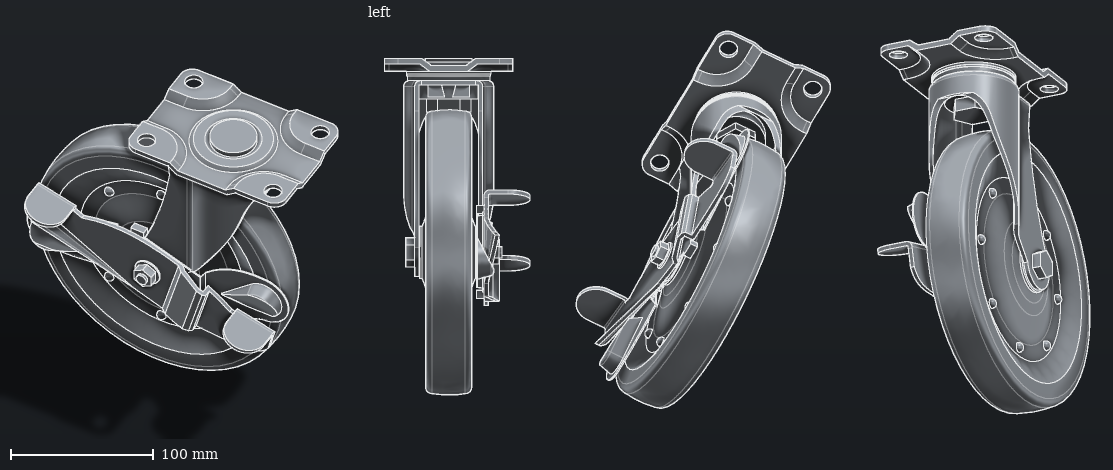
import cadquery as cq
import math


WHEEL_RADIUS = 100.0
SHOULDER_RADIUS = 99.0
TYRE_HALF_WIDTH = 16.0
TREAD_HALF_WIDTH = 11.5
SIDE_FACE_OUTER = 93.5
SIDE_FACE_INNER = 82.5
WEB_OUTER = 65.5
WEB_INNER = 54.0
WEB_HALF_WIDTH = 8.3
HUB_CONE_RADIUS = 34.0
HUB_CONE_HALF_WIDTH = 14.2
HUB_NECK_RADIUS = 25.2
HUB_RADIUS = 18.5
HUB_NECK_HALF_WIDTH = 18.6
HUB_HALF_WIDTH = 20.3
RIVET_COUNT = 8
RIVET_CIRCLE = 59.5
RIVET_RADIUS = 3.5

SWIVEL_X = 53.0
TOP_Z = 135.9
FORK_TOP = 120.3

PLATE_LENGTH = 125.2
PLATE_WIDTH = 90.0
PLATE_CORNER = 9.5
PLATE_THICKNESS = 4.0
PAD_RISE = 5.0
PAD_START_X = 19.0
PAD_START_Y = 12.0
PAD_ROUND = 28.3
PAD_SLOPE_RUN = 6.5
BOSS_RADIUS = 31.1
BOSS_SLOPE = 3.0
BOSS_RISE = 2.4
BOLT_HOLE_X = 51.0
BOLT_HOLE_Y = 33.5
BOLT_HOLE_RADIUS = 6.4
PLATE_LOW_TOP = TOP_Z - PAD_RISE
PLATE_BOTTOM = PLATE_LOW_TOP - PLATE_THICKNESS

PIN_RADIUS = 11.8
PIN_HEAD_RADIUS = 16.5
HEAD_RECESS_RADIUS = 20.0
HEAD_RECESS_DEPTH = 1.7
UPPER_RACE_RADIUS = 29.7
MIDDLE_RACE_RADIUS = 29.5
LOWER_RACE_RADIUS = 29.0
RACE_LIP_Z = 125.0
RACE_SPLIT_Z = 123.5
CUP_RADIUS = 20.5
CUP_BOTTOM = 107.3
PIN_NUT_RADIUS = 15.5
PIN_NUT_BOTTOM = 98.4
LUG_INNER_Y = 5.0
LUG_INNER_FOOT_Y = 2.8
LUG_OUTER_Y = 14.6
LUG_BOTTOM = 109.0
LUG_REACH = 23.5

SHEET = 3.0
ARM_OUTER_Y = 23.8
ARM_INNER_Y = ARM_OUTER_Y - SHEET
SHELL_RADIUS = 31.5
ARM_END_RADIUS = 17.0
FORK_EDGE_ROUND = 4.0
SHELL_BLEND = 9.5
LIP_LENGTH = 2.5
LIP_HALF_WIDTH = 18.9
FORK_FRONT_X = 12.7

AXLE_RADIUS = 4.0
AXLE_HEAD_RADIUS = 10.4
AXLE_HEAD_HEIGHT = 6.4
AXLE_FLANGE_RADIUS = 10.0
AXLE_FLANGE_HEIGHT = 1.2
AXLE_NUT_RADIUS = 8.0
AXLE_NUT_HEIGHT = 6.4
AXLE_END_Y = -37.5

BASE_SHEET = 1.0
BASE_Y = -ARM_OUTER_Y
WING_Y = -19.3
JOG_START = 27.1
JOG_RUN = 2.0
RIGHT_JOG_START = 40.0
LEFT_LOBE = (-82.5, -4.2)
LEFT_LOBE_RADIUS = 19.0
RIGHT_LOBE = (89.0, 9.2)
RIGHT_LOBE_RADIUS = 19.8
CAM_RADIUS = 14.9
CAM_HEIGHT = 12.3
CAM_ROUND = 2.8
CAM_DRAFT = 15
LEFT_CAM_SLOPE = (11.8, -11.8)
RIGHT_CAM_SLOPE = (-6.0, 22.5)
LEFT_CAM_TIP = (-47.2, -6.0)
RIGHT_CAM_TIP = (54.2, -1.2)
HOOK_WIDTH = 10.4
HOOK_HEIGHT = 6.0
HOOK_OVERLAP = 1.2
UPPER_HOOK = (-15.5, 27.1)
LOWER_HOOK = (21.2, -32.3)

PEDAL_TILT = 15
PEDAL_BACK_Y = BASE_Y - BASE_SHEET
PEDAL_FRONT_Y = PEDAL_BACK_Y - SHEET
HUMP_Y = -35.5
HUMP_STEP_Y = -31.0
TREAD_TIP_Y = -57.0
TREAD_WIDTH = 31.0
BEND_INNER_RADIUS = 1.2
BEND_OUTER_RADIUS = BEND_INNER_RADIUS + SHEET
TREAD_ROOT = 5.5
LEFT_TREAD = (-88.5, 43.9)
RIGHT_TREAD = (71.5, -2.1)
FLARE_TIP = (-11.5, PEDAL_FRONT_Y, -21.7)
FLARE_EDGE = [
    (-90.0, PEDAL_FRONT_Y, 24.0),
    (-90.5, -30.0, 19.3),
    (-90.8, -33.7, 14.2),
    (-89.9, HUMP_Y, 12.3),
]


def prism_along_y(outline, y_back, y_front):
    """Extrude a closed XZ wire builder from y_back towards -Y as far as y_front."""
    return outline(cq.Workplane("XZ", origin=(0, y_back, 0))).close().extrude(y_back - y_front)


def rod_along_y(radius, y_back, y_front):
    return cq.Workplane("XZ", origin=(0, y_back, 0)).circle(radius).extrude(y_back - y_front)


def hexagon_along_y(radius, y_back, y_front):
    """Hexagonal bar on the wheel axis with corners pointing up and down."""
    bar = cq.Workplane("XZ", origin=(0, y_back, 0)).polygon(6, 2 * radius).extrude(y_back - y_front)
    return bar.rotate((0, 0, 0), (0, 1, 0), 90)


def swivel_disc(radius, z_bottom, z_top):
    return cq.Workplane("XY", origin=(SWIVEL_X, 0, z_bottom)).circle(radius).extrude(z_top - z_bottom)


def make_wheel():
    side = [
        (SIDE_FACE_INNER, TYRE_HALF_WIDTH),
        (WEB_OUTER, WEB_HALF_WIDTH),
        (WEB_INNER, WEB_HALF_WIDTH),
        (HUB_CONE_RADIUS, HUB_CONE_HALF_WIDTH),
        (HUB_NECK_RADIUS, TYRE_HALF_WIDTH),
        (HUB_RADIUS, HUB_NECK_HALF_WIDTH),
        (HUB_RADIUS, HUB_HALF_WIDTH),
        (AXLE_RADIUS, HUB_HALF_WIDTH),
    ]
    other_side = [(radius, -y) for radius, y in reversed(side)]
    shoulder_mid_radius = SIDE_FACE_OUTER + 0.75 * (SHOULDER_RADIUS - SIDE_FACE_OUTER)
    shoulder_mid_y = TREAD_HALF_WIDTH + 0.75 * (TYRE_HALF_WIDTH - TREAD_HALF_WIDTH)
    wheel = (
        cq.Workplane("XY")
        .moveTo(SIDE_FACE_OUTER, TYRE_HALF_WIDTH)
        .polyline(side + other_side, includeCurrent=True)
        .lineTo(SIDE_FACE_OUTER, -TYRE_HALF_WIDTH)
        .threePointArc((shoulder_mid_radius, -shoulder_mid_y), (SHOULDER_RADIUS, -TREAD_HALF_WIDTH))
        .threePointArc((WHEEL_RADIUS, 0), (SHOULDER_RADIUS, TREAD_HALF_WIDTH))
        .threePointArc((shoulder_mid_radius, shoulder_mid_y), (SIDE_FACE_OUTER, TYRE_HALF_WIDTH))
        .close()
        .revolve(360, (0, 0, 0), (0, 1, 0))
    )
    for index in range(RIVET_COUNT):
        angle = 2 * math.pi * index / RIVET_COUNT
        for side_y in (-WEB_HALF_WIDTH, WEB_HALF_WIDTH):
            center = (RIVET_CIRCLE * math.cos(angle), side_y, RIVET_CIRCLE * math.sin(angle))
            wheel = wheel.union(cq.Workplane("XY", origin=center).sphere(RIVET_RADIUS))
    return wheel


def corner_pads(z_bottom, inset):
    """Four tapered blocks over the corners of the mounting plate."""
    slope = math.degrees(math.atan2(PAD_SLOPE_RUN, PAD_RISE))
    start_x = PAD_START_X + inset
    start_y = PAD_START_Y + inset
    pads = []
    for side_x in (-1, 1):
        for side_y in (-1, 1):
            center = (SWIVEL_X + side_x * (start_x + PLATE_LENGTH / 2),
                      side_y * (start_y + PLATE_WIDTH / 2), z_bottom)
            pad = (
                cq.Workplane("XY", origin=center)
                .sketch().rect(PLATE_LENGTH, PLATE_WIDTH).vertices().fillet(PAD_ROUND).finalize()
                .extrude(PAD_RISE, taper=slope)
            )
            pads.append(pad)
    return pads


def make_mounting_plate():
    blank = (
        cq.Workplane("XY", origin=(SWIVEL_X, 0, PLATE_BOTTOM))
        .rect(PLATE_LENGTH, PLATE_WIDTH)
        .extrude(TOP_Z - PLATE_BOTTOM)
        .edges("|Z").fillet(PLATE_CORNER)
    )
    plate = (
        cq.Workplane("XY", origin=(SWIVEL_X, 0, PLATE_BOTTOM))
        .rect(PLATE_LENGTH, PLATE_WIDTH).extrude(PLATE_THICKNESS)
    )
    bend_inset = PLATE_THICKNESS * math.tan(math.atan2(PAD_RISE, PAD_SLOPE_RUN) / 2)
    for pad in corner_pads(PLATE_LOW_TOP, 0):
        plate = plate.union(pad)
    for hollow in corner_pads(PLATE_BOTTOM, bend_inset):
        plate = plate.cut(hollow)
    plate = plate.intersect(blank)
    boss = (
        cq.Workplane("XY", origin=(SWIVEL_X, 0, PLATE_LOW_TOP))
        .circle(BOSS_RADIUS).extrude(BOSS_RISE)
        .faces(">Z").chamfer(BOSS_RISE * 0.99, BOSS_SLOPE)
    )
    holes = (
        cq.Workplane("XY", origin=(SWIVEL_X, 0, PLATE_BOTTOM))
        .rect(2 * BOLT_HOLE_X, 2 * BOLT_HOLE_Y, forConstruction=True).vertices()
        .circle(BOLT_HOLE_RADIUS).extrude(TOP_Z - PLATE_BOTTOM)
    )
    recess = (
        swivel_disc(HEAD_RECESS_RADIUS, PLATE_LOW_TOP + BOSS_RISE - HEAD_RECESS_DEPTH, TOP_Z)
        .faces("<Z").chamfer(HEAD_RECESS_DEPTH, HEAD_RECESS_RADIUS - PIN_HEAD_RADIUS)
    )
    return plate.union(boss).cut(recess).cut(holes).cut(swivel_disc(PIN_RADIUS, PLATE_BOTTOM, TOP_Z))


def make_kingpin():
    """Pin with a head on the plate, bearing races under it, and a cup and nut under the fork."""
    recess_bottom = PLATE_LOW_TOP + BOSS_RISE - HEAD_RECESS_DEPTH
    flange_bottom = FORK_TOP - SHEET
    half_profile = [
        (0, TOP_Z),
        (PIN_HEAD_RADIUS, TOP_Z),
        (PIN_HEAD_RADIUS, recess_bottom),
        (PIN_RADIUS, recess_bottom),
        (PIN_RADIUS, PLATE_BOTTOM),
        (UPPER_RACE_RADIUS, PLATE_BOTTOM),
        (UPPER_RACE_RADIUS, RACE_LIP_Z),
        (MIDDLE_RACE_RADIUS, RACE_LIP_Z),
        (MIDDLE_RACE_RADIUS, RACE_SPLIT_Z),
        (LOWER_RACE_RADIUS, RACE_SPLIT_Z),
        (LOWER_RACE_RADIUS, FORK_TOP),
        (PIN_RADIUS, FORK_TOP),
        (PIN_RADIUS, flange_bottom),
        (CUP_RADIUS, flange_bottom),
        (CUP_RADIUS, CUP_BOTTOM),
        (0, CUP_BOTTOM),
    ]
    pin = (
        cq.Workplane("XZ").polyline(half_profile).close()
        .revolve(360, (0, 0, 0), (0, 1, 0)).translate((SWIVEL_X, 0, 0))
    )
    nut = (
        cq.Workplane("XY", origin=(SWIVEL_X, 0, PIN_NUT_BOTTOM))
        .transformed(rotate=(0, 0, 90)).polygon(6, 2 * PIN_NUT_RADIUS)
        .extrude(CUP_BOTTOM - PIN_NUT_BOTTOM)
    )
    lug_outline = [
        (LUG_INNER_Y, flange_bottom),
        (LUG_OUTER_Y, flange_bottom),
        (LUG_OUTER_Y, LUG_BOTTOM),
        (LUG_INNER_FOOT_Y, LUG_BOTTOM),
    ]
    lug = (
        cq.Workplane("YZ", origin=(SWIVEL_X - LUG_REACH, 0, 0))
        .polyline(lug_outline).close().extrude(LUG_REACH)
    )
    return pin.union(nut).union(lug).union(lug.mirror("XZ"))


def fork_plan(radius, half_width, z_top):
    """Solid keyhole in plan: a cylinder on the swivel axis with a straight-sided tongue to -X."""
    depth = z_top + ARM_END_RADIUS
    tongue_length = SWIVEL_X + ARM_END_RADIUS
    tongue = (
        cq.Workplane("XY", origin=(SWIVEL_X - tongue_length / 2, 0, -ARM_END_RADIUS))
        .rect(tongue_length, 2 * half_width).extrude(depth)
    )
    junction_x = SWIVEL_X - math.sqrt(radius**2 - half_width**2)
    junctions = cq.selectors.BoxSelector(
        (junction_x - 2.4, -radius, -ARM_END_RADIUS - 2.4), (junction_x + 2.4, radius, z_top + 2.4)
    )
    keyhole = tongue.union(swivel_disc(radius, -ARM_END_RADIUS, z_top))
    return keyhole.edges("|Z").edges(junctions).fillet(SHELL_BLEND)


def fork_side_outline(plane):
    return (
        plane.moveTo(FORK_FRONT_X, FORK_TOP)
        .lineTo(15.0, 99)
        .spline([(10.1, 72.6), (-4.7, 27.4), (-16.5, 3.5)], includeCurrent=True)
        .threePointArc((0, -ARM_END_RADIUS), (16.5, -3.5))
        .lineTo(36.8, 17.2)
        .spline([(52.5, 41.5), (70.3, 75.7), (78.3, 98.0), (81.5, 102.8)], includeCurrent=True)
        .lineTo(SWIVEL_X + SHELL_RADIUS, 102.8)
        .lineTo(SWIVEL_X + SHELL_RADIUS, FORK_TOP)
    )


def make_fork():
    outer = fork_plan(SHELL_RADIUS, ARM_OUTER_Y, FORK_TOP).faces(">Z").edges().fillet(FORK_EDGE_ROUND)
    inner = fork_plan(SHELL_RADIUS - SHEET, ARM_INNER_Y, FORK_TOP - SHEET)
    fork = outer.cut(inner)
    fork = fork.intersect(prism_along_y(fork_side_outline, SHELL_RADIUS, -SHELL_RADIUS))
    lip = cq.Workplane("XY").box(2 * LIP_LENGTH, 2 * LIP_HALF_WIDTH, SHEET)
    fork = fork.union(lip.translate((FORK_FRONT_X, 0, FORK_TOP - SHEET / 2)))
    fork = fork.cut(swivel_disc(PIN_RADIUS, FORK_TOP - SHEET, FORK_TOP))
    return fork.cut(rod_along_y(AXLE_RADIUS, SHELL_RADIUS, -SHELL_RADIUS))


def make_axle():
    nut_back = PEDAL_FRONT_Y - AXLE_FLANGE_HEIGHT
    axle = rod_along_y(AXLE_RADIUS, ARM_OUTER_Y, AXLE_END_Y)
    head = hexagon_along_y(AXLE_HEAD_RADIUS, ARM_OUTER_Y + AXLE_HEAD_HEIGHT, ARM_OUTER_Y)
    flange = rod_along_y(AXLE_FLANGE_RADIUS, PEDAL_FRONT_Y, nut_back)
    nut = hexagon_along_y(AXLE_NUT_RADIUS, nut_back, nut_back - AXLE_NUT_HEIGHT)
    return axle.union(head).union(flange).union(nut)


def base_outline(plane):
    left_x, left_z = LEFT_LOBE
    right_x, right_z = RIGHT_LOBE
    upper_root = UPPER_HOOK[1] + HOOK_OVERLAP
    lower_root = LOWER_HOOK[1] + HOOK_HEIGHT - HOOK_OVERLAP
    return (
        plane.moveTo(left_x, left_z - LEFT_LOBE_RADIUS)
        .spline([(-59.0, -22.6), (-28.3, -17.0)], includeCurrent=True)
        .lineTo(LOWER_HOOK[0], lower_root)
        .lineTo(LOWER_HOOK[0] + HOOK_WIDTH, lower_root)
        .lineTo(right_x, right_z - RIGHT_LOBE_RADIUS)
        .threePointArc((right_x + RIGHT_LOBE_RADIUS, right_z), (right_x, right_z + RIGHT_LOBE_RADIUS))
        .spline([(61.3, 25.2), (40.5, 11.3)], includeCurrent=True)
        .lineTo(UPPER_HOOK[0] + HOOK_WIDTH, upper_root)
        .lineTo(UPPER_HOOK[0], upper_root)
        .lineTo(left_x, left_z + LEFT_LOBE_RADIUS)
        .threePointArc((left_x - LEFT_LOBE_RADIUS, left_z), (left_x, left_z - LEFT_LOBE_RADIUS))
    )


def jogged_sheet():
    """Sheet that lies outside the fork arm near the axle and steps inward at both ends."""
    reach = 141.5
    back = [
        (-reach, WING_Y),
        (-JOG_START - JOG_RUN, WING_Y),
        (-JOG_START, BASE_Y),
        (RIGHT_JOG_START, BASE_Y),
        (RIGHT_JOG_START + JOG_RUN, WING_Y),
        (reach, WING_Y),
    ]
    front = [(x, y - BASE_SHEET) for x, y in reversed(back)]
    return cq.Workplane("XY").polyline(back + front).close().extrude(reach, both=True)


def cam_boss(center, tip, low_z, high_z):
    """Pear-shaped boss with a face that slopes from the sheet at low_z to full height at high_z."""
    to_tip = math.atan2(tip[1] - center[1], tip[0] - center[0])
    spread = math.acos(CAM_RADIUS / math.dist(center, tip))

    def on_circle(angle):
        return (center[0] + CAM_RADIUS * math.cos(angle), center[1] + CAM_RADIUS * math.sin(angle))

    def outline(plane):
        return (
            plane.moveTo(*tip)
            .lineTo(*on_circle(to_tip + spread))
            .threePointArc(on_circle(to_tip + math.pi), on_circle(to_tip - spread))
        )

    top_y = WING_Y - CAM_HEIGHT
    beyond_z = high_z + 2 * CAM_RADIUS * math.copysign(1, high_z - low_z)
    slope = [(WING_Y, low_z), (top_y, high_z), (top_y, beyond_z), (WING_Y, beyond_z)]
    wedge = (
        cq.Workplane("YZ", origin=(center[0], 0, 0))
        .polyline(slope).close().extrude(4 * CAM_RADIUS, both=True)
    )
    pear = outline(cq.Workplane("XZ", origin=(0, WING_Y, 0))).close().extrude(CAM_HEIGHT, taper=CAM_DRAFT)
    return pear.faces("<Y").edges().fillet(CAM_ROUND).intersect(wedge)


def make_brake_base():
    base = jogged_sheet().intersect(prism_along_y(base_outline, 0, 2 * BASE_Y))
    base = base.union(cam_boss(LEFT_LOBE, LEFT_CAM_TIP, *LEFT_CAM_SLOPE))
    base = base.union(cam_boss(RIGHT_LOBE, RIGHT_CAM_TIP, *RIGHT_CAM_SLOPE))
    hook = cq.Workplane("XY").box(HOOK_WIDTH, WING_Y - PEDAL_BACK_Y, HOOK_HEIGHT, centered=False)
    for hook_x, hook_z in (UPPER_HOOK, LOWER_HOOK):
        base = base.union(hook.translate((hook_x, PEDAL_BACK_Y, hook_z)))
    return base.cut(rod_along_y(AXLE_RADIUS, 0, 2 * BASE_Y))


def tilted(shape):
    return shape.rotate((0, 0, 0), (0, 1, 0), PEDAL_TILT)


def tread_root(corner, along):
    """XZ point where a tread's bent root meets the flat pedal, at a distance along its width."""
    angle = math.radians(PEDAL_TILT)
    x = corner[0] + along * math.cos(angle) - TREAD_ROOT * math.sin(angle)
    z = corner[1] - along * math.sin(angle) - TREAD_ROOT * math.cos(angle)
    return (x, z)


def pedal_outline(plane):
    flare_x, _, flare_z = FLARE_EDGE[0]
    tip_x, _, tip_z = FLARE_TIP
    return (
        plane.moveTo(*tread_root(LEFT_TREAD, 0))
        .lineTo(flare_x, flare_z)
        .lineTo(tip_x, tip_z)
        .lineTo(11.5, -30.5)
        .spline([(24.8, -33.3), (38.7, -34.5), (70.8, -37.3), (89.6, -34.5), (96.7, -28.3)],
                includeCurrent=True)
        .lineTo(*tread_root(RIGHT_TREAD, TREAD_WIDTH))
        .lineTo(*tread_root(RIGHT_TREAD, 0))
        .lineTo(68.9, -8.3)
        .lineTo(65.8, -7.3)
        .spline([(49.5, 5.0), (24.5, 18.0), (-16.3, 29.5), (-53.3, 27.0)], includeCurrent=True)
        .lineTo(*tread_root(LEFT_TREAD, TREAD_WIDTH))
    )


def humped_sheet():
    """Sheet with a ramped hump beside the axle, ending in a steep step down."""
    reach = 141.5
    front = [
        (-reach, PEDAL_FRONT_Y),
        (19.0, PEDAL_FRONT_Y),
        (23.0, HUMP_STEP_Y),
        (39.6, HUMP_Y),
        (44.3, HUMP_Y + 0.7),
        (46.5, HUMP_Y + 2.8),
        (46.5, PEDAL_FRONT_Y),
        (reach, PEDAL_FRONT_Y),
    ]
    back = [
        (reach, PEDAL_BACK_Y),
        (43.5, PEDAL_BACK_Y),
        (43.5, HUMP_Y + 3.8),
        (39.6, HUMP_Y + SHEET),
        (24.5, HUMP_STEP_Y + SHEET),
        (21.0, PEDAL_BACK_Y),
        (-reach, PEDAL_BACK_Y),
    ]
    return tilted(cq.Workplane("XY").polyline(front + back).close().extrude(reach, both=True))


def foot_tread(corner):
    """Round-ended tab bent out from the pedal, with its upper inner corner at the given XZ."""
    half_width = TREAD_WIDTH / 2
    outer_mid = BEND_OUTER_RADIUS * (1 - math.sqrt(0.5))
    inner_mid = BEND_INNER_RADIUS * (1 - math.sqrt(0.5))
    bent_strip = (
        cq.Workplane("YZ").moveTo(PEDAL_BACK_Y, -TREAD_ROOT)
        .lineTo(PEDAL_BACK_Y, -BEND_OUTER_RADIUS)
        .threePointArc((PEDAL_BACK_Y - outer_mid, -outer_mid), (PEDAL_BACK_Y - BEND_OUTER_RADIUS, 0))
        .lineTo(TREAD_TIP_Y, 0)
        .lineTo(TREAD_TIP_Y, -SHEET)
        .lineTo(PEDAL_FRONT_Y - BEND_INNER_RADIUS, -SHEET)
        .threePointArc(
            (PEDAL_FRONT_Y - inner_mid, -SHEET - inner_mid),
            (PEDAL_FRONT_Y, -SHEET - BEND_INNER_RADIUS),
        )
        .lineTo(PEDAL_FRONT_Y, -TREAD_ROOT)
        .close().extrude(TREAD_WIDTH)
    )
    plan = (
        cq.Workplane("XY").moveTo(0, PEDAL_BACK_Y)
        .lineTo(0, TREAD_TIP_Y + half_width)
        .threePointArc((half_width, TREAD_TIP_Y), (TREAD_WIDTH, TREAD_TIP_Y + half_width))
        .lineTo(TREAD_WIDTH, PEDAL_BACK_Y)
        .close().extrude(-TREAD_ROOT)
    )
    return tilted(bent_strip.intersect(plan)).translate((corner[0], 0, corner[1]))


def flare_facet(start, end):
    """Triangular facet of the flare, from one piece of its end profile to the common tip."""
    corners = [cq.Vector(*point) for point in (start, end, FLARE_TIP)]
    face = cq.Face.makeFromWires(cq.Wire.makePolygon(corners, close=True))
    return cq.Workplane(cq.Solid.extrudeLinear(face, cq.Vector(0, SHEET, 0)))


def make_brake_pedal():
    pedal = humped_sheet().intersect(prism_along_y(pedal_outline, 0, TREAD_TIP_Y))
    for corner in (LEFT_TREAD, RIGHT_TREAD):
        pedal = pedal.union(foot_tread(corner))
    for start, end in zip(FLARE_EDGE, FLARE_EDGE[1:]):
        pedal = pedal.union(flare_facet(start, end))
    return pedal.cut(rod_along_y(AXLE_RADIUS, 0, TREAD_TIP_Y))


mounting_plate = make_mounting_plate()
kingpin = make_kingpin()
fork = make_fork()
wheel = make_wheel()
axle = make_axle()
brake_base = make_brake_base()
brake_pedal = make_brake_pedal()

result = cq.Compound.makeCompound([
    mounting_plate.val(),
    kingpin.val(),
    fork.val(),
    wheel.val(),
    axle.val(),
    brake_base.val(),
    brake_pedal.val(),
])